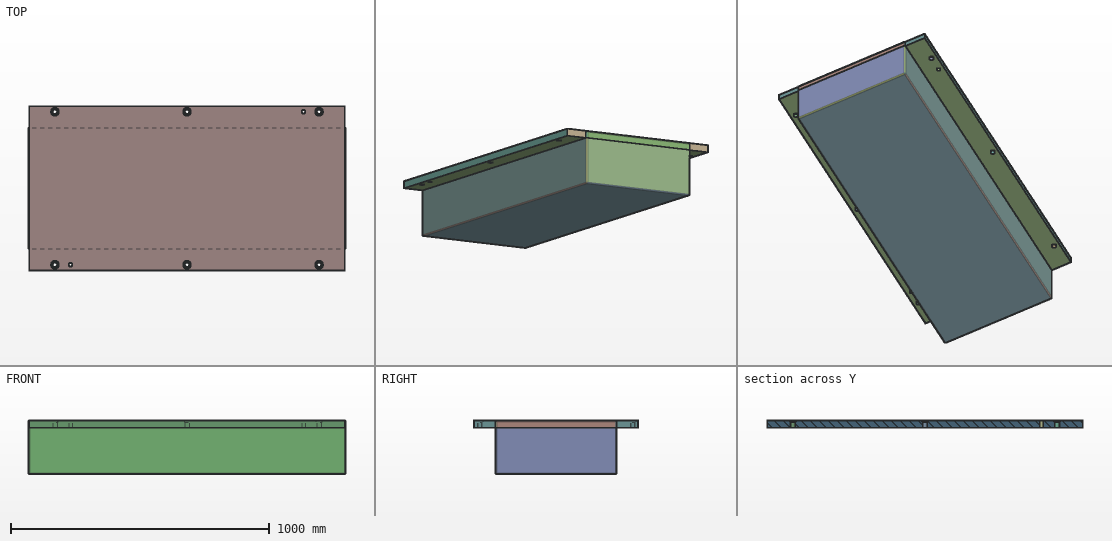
import cadquery as cq

length = 1226.0
height = 207.0
edge_radius = 5.0

plate_length = 1219.0
plate_width = 635.0
plate_thickness = 28.0
plate_bottom = height - plate_thickness

box_width = 468.0

screw_hole_diameter = 17.0
countersink_diameter = 31.0
countersink_angle = 90.0
screw_pitch = 510.0
row_offset = 295.0

dowel_hole_diameter = 13.0
dowel_offset = 450.0


def rounded_block():
    """Block with every edge rounded; the plate underside divides it between the two bodies."""
    block = cq.Workplane("XY").box(length, box_width, height, centered=(True, True, False))
    return block.edges().fillet(edge_radius)


def slab(slab_length, slab_width):
    """Rectangular slab that fills the thickness of the cover plate."""
    return (
        cq.Workplane("XY")
        .workplane(offset=plate_bottom)
        .rect(slab_length, slab_width)
        .extrude(plate_thickness)
    )


def make_box():
    """Lower part of the rounded block, flat where it meets the plate."""
    return rounded_block().cut(slab(length, box_width))


def make_cover_plate():
    """Flat plate with a rounded tab at each end, flush with the box ends."""
    end_tabs = rounded_block().intersect(slab(length, box_width))
    plate = slab(plate_length, plate_width).union(end_tabs)

    screw_points = [
        (column * screw_pitch, row * row_offset)
        for column in (-1, 0, 1)
        for row in (-1, 1)
    ]
    dowel_points = [(-dowel_offset, -row_offset), (dowel_offset, row_offset)]

    top = cq.Workplane("XY").workplane(offset=height)
    plate = (
        plate.copyWorkplane(top)
        .pushPoints(screw_points)
        .cskHole(screw_hole_diameter, countersink_diameter, countersink_angle)
    )
    return plate.copyWorkplane(top).pushPoints(dowel_points).hole(dowel_hole_diameter)


box = make_box()
cover_plate = make_cover_plate()

result = cq.Compound.makeCompound([box.solids().val(), cover_plate.solids().val()])